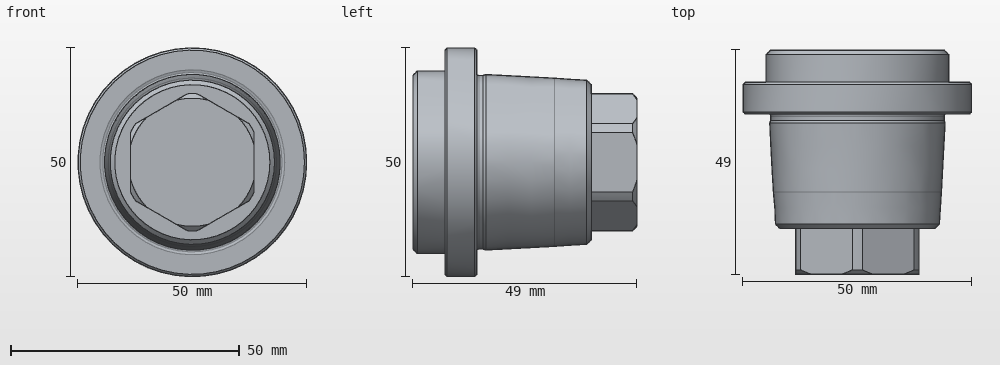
import cadquery as cq
import math

rear_length = 7.0
flange_length = 7.0
taper_body_length = 25.0
hex_length = 10.0
total_length = rear_length + flange_length + taper_body_length + hex_length

rear_radius = 20.0
rear_chamfer = 1.0
flange_radius = 25.0
flange_chamfer = 0.5

taper_large_radius = 19.2
taper_split_radius = 18.4
taper_small_radius = 17.95
body_chamfer = 1.0
taper_split_height = 8.0

undercut_radius = 19.0
undercut_fillet = 0.6
undercut_depth = 0.15
undercut_outer_radius = 20.2
undercut_straight = 0.9
undercut_ramp = 0.6

hex_across_flats = 27.0
hex_corner_radius = 15.0
hex_chamfer = 1.0

hex_end = -total_length / 2
body_end = hex_end + hex_length
flange_front = body_end + taper_body_length
flange_rear = flange_front + flange_length
rear_end = flange_rear + rear_length
fillet_center_r = undercut_radius + undercut_fillet
fillet_center_y = flange_front + undercut_depth - undercut_fillet
cylinder_end = fillet_center_y - undercut_straight
taper_start = cylinder_end - undercut_ramp
taper_end = body_end + body_chamfer
taper_split = body_end + taper_split_height


def make_turned_body():
    """Spigot, flange, undercut and tapered body as one revolved profile."""
    arc_mid = undercut_fillet * math.sqrt(0.5)
    return (
        cq.Workplane("XY")
        .moveTo(0, body_end)
        .lineTo(taper_small_radius - body_chamfer, body_end)
        .lineTo(taper_small_radius, taper_end)
        .lineTo(taper_split_radius, taper_split)
        .lineTo(taper_large_radius, taper_start)
        .lineTo(undercut_radius, cylinder_end)
        .lineTo(undercut_radius, fillet_center_y)
        .threePointArc(
            (fillet_center_r - arc_mid, fillet_center_y + arc_mid),
            (fillet_center_r, fillet_center_y + undercut_fillet),
        )
        .lineTo(undercut_outer_radius, flange_front)
        .lineTo(flange_radius - flange_chamfer, flange_front)
        .lineTo(flange_radius, flange_front + flange_chamfer)
        .lineTo(flange_radius, flange_rear - flange_chamfer)
        .lineTo(flange_radius - flange_chamfer, flange_rear)
        .lineTo(rear_radius, flange_rear)
        .lineTo(rear_radius, rear_end - rear_chamfer)
        .lineTo(rear_radius - rear_chamfer, rear_end)
        .lineTo(0, rear_end)
        .close()
        .revolve(360, (0, 0, 0), (0, 1, 0))
    )


def make_hex_head():
    """Hexagon with corners along Z, rounded and chamfered by a turned blank."""
    corner_diameter = hex_across_flats / math.cos(math.pi / 6)
    base = cq.Workplane("XZ", origin=(0, body_end, 0))
    prism = base.transformed(rotate=(0, 0, 90)).polygon(6, corner_diameter).extrude(hex_length)
    blank = base.circle(hex_corner_radius).extrude(hex_length).faces("<Y").chamfer(hex_chamfer)
    return prism.intersect(blank)


result = make_turned_body().union(make_hex_head())